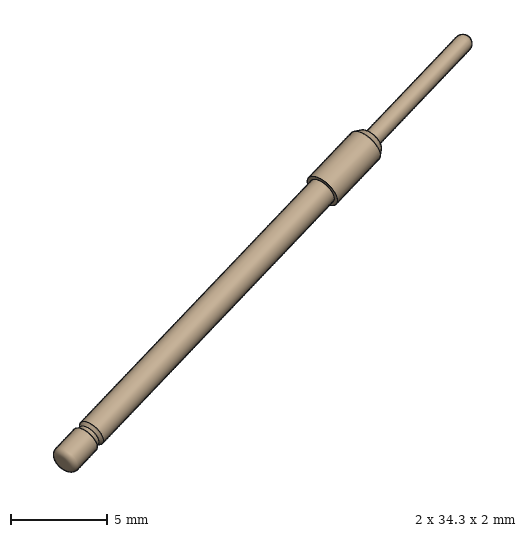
import cadquery as cq
import math

total_length = 34.3

barrel_radius = 0.8
tail_round = 0.35

groove_start = 1.92
groove_width = 0.5
groove_depth = 0.15
flank_width = 0.2

collar_radius = 1.0
collar_length = 4.05
collar_front = total_length - 8.3
collar_back = collar_front - collar_length
collar_chamfer_length = 0.4
collar_chamfer_depth = 0.25

plunger_radius = 0.48
tip_round = 0.45


def rod(radius, start, end):
    """Solid cylinder on the Y axis between two Y positions."""
    base = cq.Workplane("XZ", origin=(0, start, 0))
    return base.circle(radius).extrude(start - end)


def collar_solid():
    """Collar with a conical front edge, revolved around the Y axis."""
    section = (
        cq.Workplane("XY")
        .moveTo(0, collar_back)
        .lineTo(collar_radius, collar_back)
        .lineTo(collar_radius, collar_front - collar_chamfer_length)
        .lineTo(collar_radius - collar_chamfer_depth, collar_front)
        .lineTo(0, collar_front)
        .close()
    )
    return section.revolve(360, (0, 0, 0), (0, 1, 0))


def groove_cutter():
    """Ring revolved around the Y axis; its arc runs parallel to the axis where it meets the flank."""
    groove_end = groove_start + groove_width
    arc_width = groove_width - flank_width
    arc_radius = (arc_width**2 + groove_depth**2) / (2 * groove_depth)
    half_angle = math.asin(arc_width / arc_radius) / 2
    floor_radius = barrel_radius - groove_depth
    crease_position = groove_end - flank_width
    arc_middle = (
        floor_radius + arc_radius * (1 - math.cos(half_angle)),
        crease_position - arc_radius * math.sin(half_angle),
    )
    section = (
        cq.Workplane("XY")
        .moveTo(collar_radius, groove_start)
        .lineTo(barrel_radius, groove_start)
        .threePointArc(arc_middle, (floor_radius, crease_position))
        .lineTo(barrel_radius, groove_end)
        .lineTo(collar_radius, groove_end)
        .close()
    )
    return section.revolve(360, (0, 0, 0), (0, 1, 0))


barrel = rod(barrel_radius, 0, collar_back).faces("<Y").edges().fillet(tail_round)
barrel = barrel.cut(groove_cutter())
collar = collar_solid()
plunger = rod(plunger_radius, collar_back, total_length).faces(">Y").edges().fillet(tip_round)

result = barrel.union(collar).union(plunger)